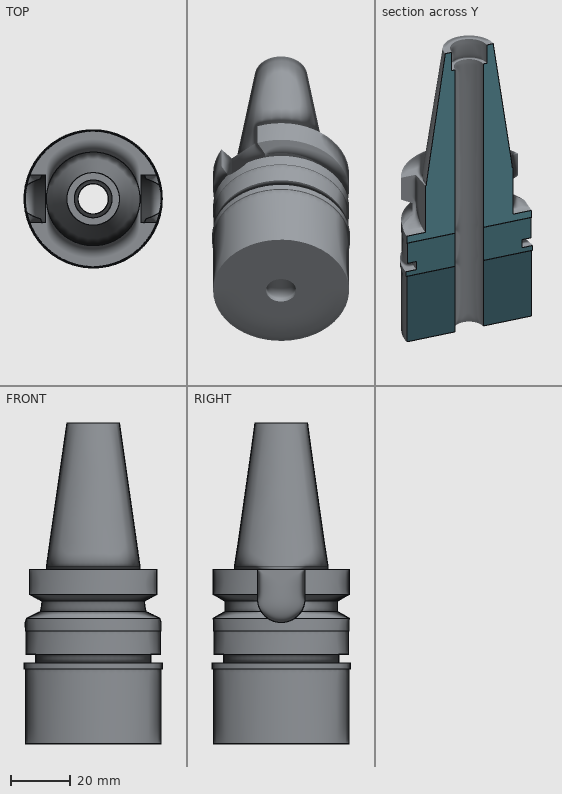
import cadquery as cq

TOTAL_HEIGHT = 108.4
TAPER_BASE_Z = 59.9
FLANGE_TOP_Z = 59.0
GROOVE_TOP_Z = 50.5
GROOVE_BOTTOM_Z = 42.4
GROOVE_CONE_HEIGHT = 2.3
HOLDER_BOTTOM_Z = 38.0
BAND_BOTTOM_Z = 30.2
RIM_TOP_Z = 27.3
SLEEVE_TOP_Z = 25.3

TAPER_TOP_RADIUS = 8.9
TAPER_BASE_RADIUS = 15.8
FLANGE_RADIUS = 23.0
GROOVE_RADIUS = 19.1
BAND_RADIUS = 22.8
NECK_RADIUS = 19.5
RIM_DIAMETER = 46.7
RIM_RADIUS = RIM_DIAMETER / 2
SLEEVE_RADIUS = FLANGE_RADIUS

BORE_RADIUS = 5.1
COUNTERBORE_RADIUS = 6.4
COUNTERBORE_DEPTH = 7.0

SLOT_WIDTH = 16.0
SLOT_FLOOR_X = 16.2
SLOT_BOTTOM_Z = 41.0


def cylinder(radius, bottom, top):
    """Upright cylinder on the Z axis."""
    return cq.Workplane("XY").workplane(offset=bottom).circle(radius).extrude(top - bottom)


def drive_slot(side):
    """Cutter for one drive slot: open at the flange top, with a round lower end."""
    half_width = SLOT_WIDTH / 2
    arc_center_z = SLOT_BOTTOM_Z + half_width
    depth = RIM_RADIUS - SLOT_FLOOR_X
    return (
        cq.Workplane("YZ", origin=(side * SLOT_FLOOR_X, 0, 0))
        .moveTo(-half_width, FLANGE_TOP_Z)
        .lineTo(-half_width, arc_center_z)
        .threePointArc((0, SLOT_BOTTOM_Z), (half_width, arc_center_z))
        .lineTo(half_width, FLANGE_TOP_Z)
        .close()
        .extrude(side * depth)
    )


def make_holder():
    """Tapered shank and grooved flange with two drive slots."""
    profile = [
        (BORE_RADIUS, HOLDER_BOTTOM_Z),
        (FLANGE_RADIUS, HOLDER_BOTTOM_Z),
        (FLANGE_RADIUS, GROOVE_BOTTOM_Z),
        (GROOVE_RADIUS, GROOVE_BOTTOM_Z + GROOVE_CONE_HEIGHT),
        (GROOVE_RADIUS, GROOVE_TOP_Z - GROOVE_CONE_HEIGHT),
        (FLANGE_RADIUS, GROOVE_TOP_Z),
        (FLANGE_RADIUS, FLANGE_TOP_Z),
        (TAPER_BASE_RADIUS, FLANGE_TOP_Z),
        (TAPER_BASE_RADIUS, TAPER_BASE_Z),
        (TAPER_TOP_RADIUS, TOTAL_HEIGHT),
        (COUNTERBORE_RADIUS, TOTAL_HEIGHT),
        (COUNTERBORE_RADIUS, TOTAL_HEIGHT - COUNTERBORE_DEPTH),
        (BORE_RADIUS, TOTAL_HEIGHT - COUNTERBORE_DEPTH),
    ]
    body = cq.Workplane("XZ").polyline(profile).close().revolve(360, (0, 0, 0), (0, 1, 0))
    for side in (-1, 1):
        body = body.cut(drive_slot(side))
    return body


def make_collar():
    """Band, narrow neck and thin rim between the holder and the sleeve."""
    band = cylinder(BAND_RADIUS, BAND_BOTTOM_Z, HOLDER_BOTTOM_Z)
    neck = cylinder(NECK_RADIUS, RIM_TOP_Z, BAND_BOTTOM_Z)
    rim = cylinder(RIM_RADIUS, SLEEVE_TOP_Z, RIM_TOP_Z)
    bore = cylinder(BORE_RADIUS, SLEEVE_TOP_Z, HOLDER_BOTTOM_Z)
    return band.union(neck).union(rim).cut(bore)


def make_sleeve():
    """Plain cylindrical lower body with the through bore."""
    bore = cylinder(BORE_RADIUS, 0, SLEEVE_TOP_Z)
    return cylinder(SLEEVE_RADIUS, 0, SLEEVE_TOP_Z).cut(bore)


holder = make_holder()
collar = make_collar()
sleeve = make_sleeve()

result = cq.Compound.makeCompound([holder.solids().val(), collar.solids().val(), sleeve.solids().val()])